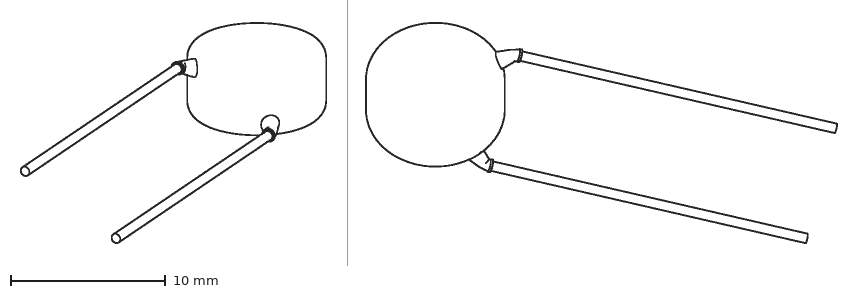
import cadquery as cq


disc_diameter = 9.0
disc_height = 5.0
edge_radius = 1.0

overall_length = 30.5
lead_diameter = 0.65
lead_spacing_x = 6.62
lead_spacing_z = 3.48

boot_root_diameter = 1.35
boot_root_x = 2.6
boot_root_y = -3.17
boot_root_z = 1.37
boot_neck_diameter = 0.82
boot_neck_x = 3.23
boot_neck_y = -4.25
boot_neck_z = 1.68
stub_end_diameter = 0.8
collar_diameter = 0.85
collar_length = 0.15
boot_end_y = -4.75

lead_x = lead_spacing_x / 2
lead_z = lead_spacing_z / 2
collar_start_y = boot_end_y + collar_length
lead_length = overall_length - disc_diameter / 2 + boot_end_y

lead_signs = [(-1, 1), (1, -1)]

TOWARD_LEAD_TIP = cq.Vector(0, -1, 0)


def make_boot(sign_x, sign_z):
    """Cone leaning out of the disc, bent at its neck into a short stub with a thin collar."""
    root = cq.Vector(sign_x * boot_root_x, boot_root_y, sign_z * boot_root_z)
    neck = cq.Vector(sign_x * boot_neck_x, boot_neck_y, sign_z * boot_neck_z)
    collar_start = cq.Vector(sign_x * lead_x, collar_start_y, sign_z * lead_z)
    cone_direction = (neck - root).normalized()

    sections = [
        cq.Wire.makeCircle(boot_root_diameter / 2, root, cone_direction),
        cq.Wire.makeCircle(boot_neck_diameter / 2, neck, cone_direction),
        cq.Wire.makeCircle(stub_end_diameter / 2, collar_start, TOWARD_LEAD_TIP),
    ]
    cone_and_stub = cq.Solid.makeLoft(sections, True)
    collar = cq.Solid.makeCylinder(collar_diameter / 2, collar_length, collar_start, TOWARD_LEAD_TIP)
    return cone_and_stub.fuse(collar)


def make_coated_body():
    """Round disc with filleted rims and one boot for each lead."""
    body = (
        cq.Workplane("XY")
        .cylinder(disc_height, disc_diameter / 2)
        .edges("%CIRCLE")
        .fillet(edge_radius)
    )
    for sign_x, sign_z in lead_signs:
        body = body.union(cq.Workplane(make_boot(sign_x, sign_z)))
    return body


def make_lead(sign_x, sign_z):
    """Straight round wire that starts at the end face of its boot."""
    start = cq.Vector(sign_x * lead_x, boot_end_y, sign_z * lead_z)
    return cq.Solid.makeCylinder(lead_diameter / 2, lead_length, start, TOWARD_LEAD_TIP)


coated_body = make_coated_body()
leads = [make_lead(sign_x, sign_z) for sign_x, sign_z in lead_signs]

result = cq.Compound.makeCompound([coated_body.val(), *leads])